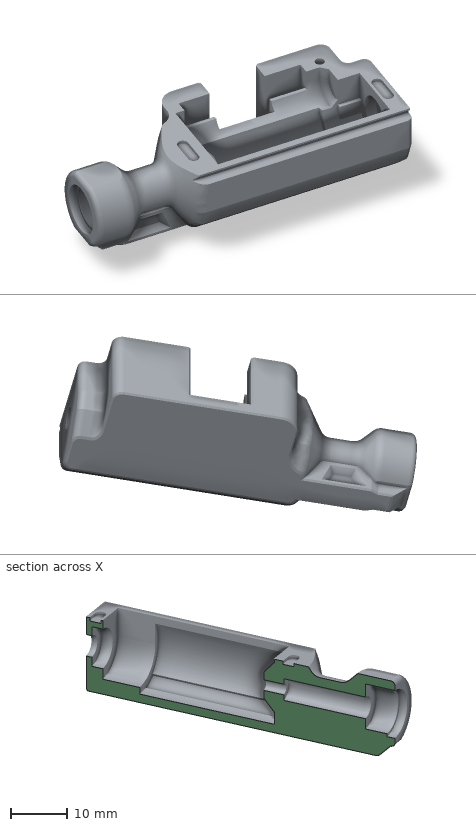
import cadquery as cq
import math

length = 62.2
axis_z = 8.95
deck_z = 14.55
bottom_chamfer = 0.3

shell_right = 8.7
shell_left = -9.25
shell_start = 13.7
shell_back_radius = 1.35
side_facet_z = 6.95
low_facet_z = 3.5
low_facet_inset = 1.25
bottom_inset = 5.0

lip_x = 7.2
lip_thickness = 0.4
undercut = 0.6
step_z = 13.2

case_left = -16.6
case_front = 23.4
case_back = 57.5
case_front_radius = 3.4
case_back_radius = 1.85
front_blend_radius = 3.0
back_blend_radius = 1.55

neck_radius = 4.0
funnel_corner_y = 16.3
funnel_slope = 1.45
funnel_blend = 1.1
funnel_rim_radius = 11.2
funnel_side_blend = 1.85
clear_radius = 24.9
funnel_rim_front = 19.3
nut_radius = 7.1
nut_flat = 6.45
nut_edge_radius = 0.95
nut_back_y = 6.05
nut_shoulder_drop = 0.6
nut_neck_blend = 1.1
neck_front_y = 11.0

foot_half_width = 2.75
toe_half_width = 2.2
toe_tip_y = 3.5
toe_back_y = 6.15
web_front_y = 7.45
foot_back_y = 21.15
foot_top_z = 5.6
panel_depth = 1.1
panel_bottom_z = 0.8
panel_top_z = 4.85
panel_bottom_front = 7.95
panel_bottom_back = 16.55
panel_top_front = 10.3
panel_top_back = 14.9

mouth_radius = 4.65
mouth_depth = 1.55
socket_radius = 4.1
socket_depth = 5.9
key_slot_width = 3.0
stem_bore_diameter = 4.15
stem_bore_end = 22.4
wire_hole_diameter = 2.0
back_recess_radius = 3.85
back_recess_depth = 2.2

cavity_front = 24.4
cavity_step = 51.4
cavity_back = 58.85
front_bore_radius = 7.2
back_bore_radius = 5.9
ledge_x = -5.15
groove_angle = 30.0
groove_width = 3.2
groove_distance = 7.6
boss_base_radius = 4.9
boss_tip_radius = 2.7
boss_height = 2.05

side_bore_radius = 3.55
side_bore_x = -7.1
side_bore_z = 12.05
side_bore_back = 54.5
side_bore_taper = 1.25

slit_left = -12.9
slit_right = -11.0
slit_front = 26.2
slit_back = 50.55
slit_floor = 2.3
slit_ledge_x = -10.3
slit_ledge_z = 10.65
window_front = 32.4
window_back = 43.4
window_right = -9.1
window_floor = 2.7
window_bevel = 0.4

keyhole_length = 6.3
keyhole_width = 2.1
keyhole_depth = 0.6
keyhole_places = [21.45, 60.4]
pin_hole_diameter = 1.8
pin_hole_depth = 3.75
pin_hole_x = -12.1
pin_hole_y = 54.05


def box(x0, x1, y0, y1, z0, z1):
    return cq.Workplane("XY").box(x1 - x0, y1 - y0, z1 - z0, centered=False).translate((x0, y0, z0))


def rod(radius, y0, y1, x=0, z=axis_z):
    return cq.Workplane("XZ", origin=(x, y0, z)).circle(radius).extrude(y0 - y1)


def cone(radius0, radius1, y0, y1, x=0, z=axis_z):
    return cq.Workplane(cq.Solid.makeCone(radius0, radius1, y1 - y0, cq.Vector(x, y0, z), cq.Vector(0, 1, 0)))


def revolve_profile(profile):
    """Turns an (r, y) profile around the barrel axis."""
    return profile.close().revolve(360, (0, 0, 0), (0, 1, 0)).translate((0, 0, axis_z))


def side_edges(x0, x1, y0, y1):
    """Selects the edges centred in a plan rectangle except those in the deck and in the underside."""
    margin = 0.05
    return cq.selectors.BoxSelector(
        (x0 - margin, y0 - margin, margin),
        (x1 + margin, y1 + margin, deck_z - margin),
    )


def make_shell():
    section = [
        (shell_left + bottom_inset, 0),
        (shell_right - bottom_inset, 0),
        (shell_right - low_facet_inset, low_facet_z),
        (shell_right, side_facet_z),
        (shell_right, deck_z),
        (shell_left, deck_z),
        (shell_left, side_facet_z),
        (shell_left + low_facet_inset, low_facet_z),
    ]
    shell = cq.Workplane("XZ", origin=(0, shell_start, 0)).polyline(section).close().extrude(shell_start - length)
    shell = shell.edges(side_edges(shell_left, shell_right, length, length)).fillet(shell_back_radius)
    shell = shell.intersect(make_funnel())
    for x0, x1 in ((0, shell_right), (shell_left, 0)):
        rim = side_edges(x0, x1, funnel_rim_front, case_front)
        shell = shell.edges(rim).fillet(funnel_side_blend)
    return shell


def make_case():
    case = box(case_left, 0, case_front, case_back, 0, deck_z)
    case = case.edges("|Z and <X and <Y").fillet(case_front_radius)
    case = case.edges("|Z and <X and >Y").fillet(case_back_radius)
    return case


def blend_case_into_shell(body):
    """Rounds the two inside corners where the end walls of the case meet the shell."""
    for wall_y, radius in ((case_front, front_blend_radius), (case_back, back_blend_radius)):
        corner = side_edges(shell_left, shell_left + bottom_inset, wall_y, wall_y)
        body = body.edges(corner).fillet(radius)
    return body


def make_funnel():
    """Envelope that narrows the front of the shell down to the neck."""
    angle = math.atan(funnel_slope)
    blend_end = (neck_radius + funnel_blend * math.sin(angle), funnel_corner_y + funnel_blend * math.cos(angle))
    end_y = funnel_corner_y + (funnel_rim_radius - neck_radius) / funnel_slope
    profile = (
        cq.Workplane("XY")
        .moveTo(0, neck_front_y)
        .lineTo(neck_radius, neck_front_y)
        .lineTo(neck_radius, funnel_corner_y - funnel_blend)
        .tangentArcPoint(blend_end, relative=False)
        .lineTo(funnel_rim_radius, end_y)
        .lineTo(clear_radius, end_y)
        .lineTo(clear_radius, length)
        .lineTo(0, length)
    )
    return revolve_profile(profile)


def make_nut():
    """Round nut with two flats and a 45 degree cone that blends into the neck."""
    cos45 = math.sqrt(0.5)
    shoulder_radius = nut_radius - nut_shoulder_drop
    shoulder_y = nut_back_y + nut_shoulder_drop * cos45 / (1 - cos45)
    cone_radius = neck_radius + nut_neck_blend * cos45
    cone_y = shoulder_y + shoulder_radius - cone_radius
    neck_y = cone_y + nut_neck_blend * (1 + cos45)
    profile = (
        cq.Workplane("XY")
        .lineTo(nut_radius, 0)
        .lineTo(nut_radius, nut_back_y)
        .tangentArcPoint((shoulder_radius, shoulder_y), relative=False)
        .lineTo(cone_radius, cone_y)
        .tangentArcPoint((neck_radius, neck_y), relative=False)
        .lineTo(neck_radius, funnel_corner_y)
        .lineTo(0, funnel_corner_y)
    )
    flats = box(-nut_radius, nut_radius, 0, funnel_corner_y, axis_z - nut_flat, axis_z + nut_flat)
    nut = revolve_profile(profile).intersect(flats)
    return nut.faces("<Y").edges().fillet(nut_edge_radius)


def make_foot():
    """Web between the case, the neck and the nut, with a sunken panel on each side."""
    toe_top_z = axis_z - nut_flat + 0.6
    toe = box(-toe_half_width, toe_half_width, toe_tip_y - toe_top_z, foot_back_y, 0, toe_top_z)
    toe = toe.edges("|X and <Y and <Z").chamfer(toe_top_z - 0.05)
    web_plan = [
        (-toe_half_width, toe_back_y),
        (toe_half_width, toe_back_y),
        (foot_half_width, web_front_y),
        (foot_half_width, foot_back_y),
        (-foot_half_width, foot_back_y),
        (-foot_half_width, web_front_y),
    ]
    web_side = [
        (toe_back_y, 0),
        (foot_back_y, 0),
        (foot_back_y, foot_top_z),
        (toe_back_y + foot_top_z - toe_top_z, foot_top_z),
        (toe_back_y, toe_top_z),
    ]
    web = cq.Workplane("XY").polyline(web_plan).close().extrude(foot_top_z)
    web_envelope = cq.Workplane("YZ").polyline(web_side).close().extrude(foot_half_width, both=True)
    web = web.intersect(web_envelope)
    panel_outline = [
        (panel_bottom_front, panel_bottom_z),
        (panel_bottom_back, panel_bottom_z),
        (panel_top_back, panel_top_z),
        (panel_top_front, panel_top_z),
    ]
    panel = (
        cq.Workplane("YZ", origin=(-foot_half_width, 0, 0))
        .polyline(panel_outline)
        .close()
        .extrude(panel_depth, taper=45)
    )
    return toe.union(web).cut(panel).cut(panel.mirror("YZ"))


def make_outside():
    body = blend_case_into_shell(make_shell().union(make_case()))
    body = body.union(make_nut()).union(make_foot())
    body = body.faces("<Z").edges().chamfer(bottom_chamfer)
    groove_outline = [
        (lip_x, deck_z),
        (lip_x, deck_z - lip_thickness),
        (lip_x - undercut, deck_z - lip_thickness - undercut),
        (lip_x - undercut, step_z),
        (shell_right, step_z),
        (shell_right, deck_z),
    ]
    step = cq.Workplane("XZ").polyline(groove_outline).close().extrude(-length)
    return body.cut(step)


def cut_axial_bores(body):
    body = body.cut(rod(mouth_radius, 0, mouth_depth))
    body = body.cut(rod(socket_radius, 0, socket_depth))
    key_slot = box(-key_slot_width / 2, key_slot_width / 2, 0, socket_depth, axis_z, axis_z + mouth_radius)
    body = body.cut(key_slot.intersect(rod(mouth_radius, 0, socket_depth)))
    body = body.cut(rod(stem_bore_diameter / 2, socket_depth, stem_bore_end))
    body = body.cut(rod(wire_hole_diameter / 2, stem_bore_end, cavity_step))
    body = body.cut(rod(back_recess_radius, cavity_back, cavity_back + back_recess_depth))
    return body.cut(rod(stem_bore_diameter / 2, cavity_back, length))


def make_cavity():
    """Everything hollowed out from the deck down: two round-bottomed troughs and a flat groove."""
    front_bore = rod(front_bore_radius, cavity_front, cavity_step)
    back_bore = rod(back_bore_radius, cavity_front, cavity_back)
    opening = box(-back_bore_radius, back_bore_radius, cavity_front, cavity_back, axis_z, deck_z)
    groove = (
        box(-groove_width / 2, groove_width / 2, cavity_front, cavity_step, -groove_distance, 0)
        .rotate((0, 0, 0), (0, 1, 0), -groove_angle)
        .translate((0, 0, axis_z))
    )
    taper_y = side_bore_back - side_bore_taper
    side_left = side_bore_x - side_bore_radius
    side_bore = rod(side_bore_radius, cavity_front, taper_y, side_bore_x, side_bore_z)
    side_bore = side_bore.union(
        cone(side_bore_radius, side_bore_radius - side_bore_taper, taper_y, side_bore_back, side_bore_x, side_bore_z)
    )
    side_opening = box(side_left, -back_bore_radius, cavity_front, side_bore_back, side_bore_z, deck_z)
    side_opening = side_opening.edges("|Z and <X and >Y").chamfer(side_bore_taper)
    main_trough = front_bore.union(back_bore).union(opening).union(groove)
    side_trough = side_bore.union(side_opening)
    boss = cone(boss_base_radius, boss_tip_radius, cavity_front, cavity_front + boss_height)
    ledge = box(-back_bore_radius, ledge_x, side_bore_back, cavity_back, 0, axis_z)
    return main_trough.cut(ledge).union(side_trough).cut(boss)


def make_slit():
    deep = box(slit_left, slit_right, slit_front, slit_back, slit_floor, deck_z)
    ledge = box(slit_right, slit_ledge_x, slit_front, slit_back, slit_ledge_z, deck_z)
    return deep.union(ledge)


def make_window():
    """Opening through the left wall and the deck with a bevelled outer edge."""
    opening = box(case_left, window_right, window_front, window_back, window_floor, deck_z)
    mouth_width = window_back - window_front + 2 * window_bevel
    mouth_bottom = window_floor - window_bevel
    mouth_height = 2 * (deck_z - mouth_bottom)
    mouth = (
        cq.Workplane("YZ", origin=(case_left, (window_front + window_back) / 2, deck_z))
        .rect(mouth_width, mouth_height)
        .extrude(window_bevel, taper=45)
    )
    return opening.union(mouth)


def cut_deck_openings(body):
    keyholes = (
        cq.Workplane("XY", origin=(0, 0, deck_z))
        .pushPoints([(0, y) for y in keyhole_places])
        .slot2D(keyhole_length, keyhole_width)
        .extrude(-keyhole_depth)
    )
    pin_hole = (
        cq.Workplane("XY", origin=(pin_hole_x, pin_hole_y, deck_z))
        .circle(pin_hole_diameter / 2)
        .extrude(-pin_hole_depth)
    )
    return body.cut(keyholes).cut(pin_hole)


result = make_outside()
result = result.cut(make_cavity())
result = result.cut(make_slit())
result = result.cut(make_window())
result = cut_axial_bores(result)
result = cut_deck_openings(result)